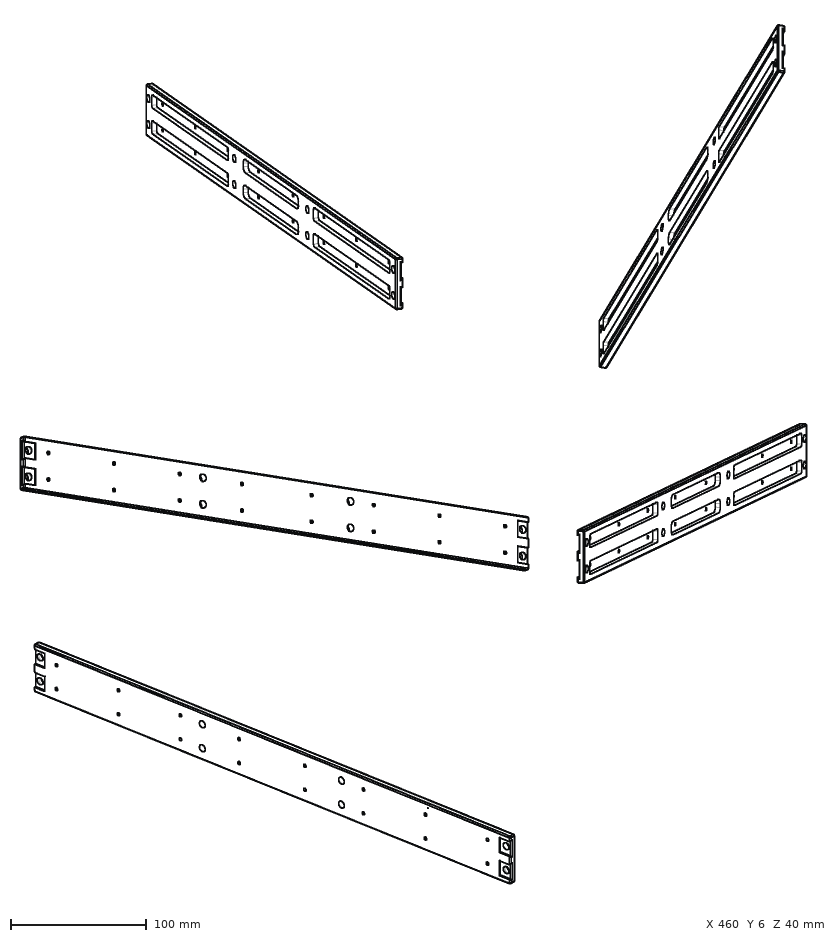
import cadquery as cq

length = 460.0
thickness = 6.0
height = 40.0
chamfer_size = 1.0

front_y = -thickness / 2
rear_y = thickness / 2

row_z = height / 4

notch_length = 10.5
notch_depth = 1.5
rib_width = 7.0
lip_width = 4.0
notch_height = (height - rib_width) / 2 - lip_width
notch_z = (rib_width + notch_height) / 2

pocket_height = 10.0
pocket_depth = 4.0
middle_pocket_length = 101.0
middle_pocket_corner = 3.5
outer_pocket_length = 140.5
outer_pocket_corner = 2.0
outer_pocket_x = 148.5

mount_hole_diameter = 5.5
mount_hole_x = (67.0, 225.0)
pin_hole_diameter = 2.5
pin_hole_x = (31.7, 88.5, 148.0, 208.0)


def mirrored_points(distances, z):
    return [(side * x, row * z) for x in distances for side in (-1, 1) for row in (-1, 1)]


def make_bar():
    bar = cq.Workplane("XY").box(length, thickness, height)
    for x, z in mirrored_points([length / 2], notch_z):
        notch = cq.Workplane("XY").box(2 * notch_length, 2 * notch_depth, notch_height)
        bar = bar.cut(notch.translate((x, rear_y, z)))
    bar = bar.faces("<Z or >Z").edges("|X").chamfer(chamfer_size)
    return bar.faces("<X or >X").edges().chamfer(chamfer_size)


def make_pocket(x, z, pocket_length, corner):
    pocket = cq.Workplane("XY").box(pocket_length, 2 * pocket_depth, pocket_height)
    return pocket.edges("|Y").fillet(corner).translate((x, front_y, z))


def make_holes(distances, diameter):
    places = mirrored_points(distances, row_z)
    return cq.Workplane("XZ").pushPoints(places).circle(diameter / 2).extrude(thickness, both=True)


result = make_bar()
for row in (-1, 1):
    z = row * row_z
    result = result.cut(make_pocket(0, z, middle_pocket_length, middle_pocket_corner))
    for side in (-1, 1):
        x = side * outer_pocket_x
        result = result.cut(make_pocket(x, z, outer_pocket_length, outer_pocket_corner))
result = result.cut(make_holes(mount_hole_x, mount_hole_diameter))
result = result.cut(make_holes(pin_hole_x, pin_hole_diameter))